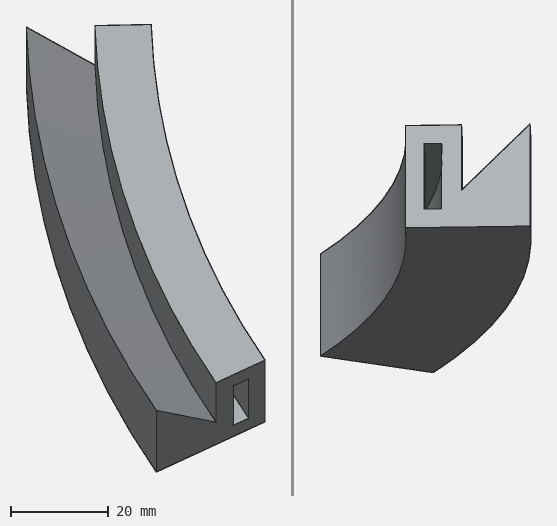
import cadquery as cq
import math

chord = 99.4
sweep_angle = 28.0
height = 22.0
groove_width = 14.0
groove_depth = 14.0
wall_thickness = 11.5
slot_width = 3.6
slot_height = 14.0
slot_inset = 3.9
slot_base = 4.0

half_angle = sweep_angle / 2
outer_radius = chord / 2 / math.sin(math.radians(half_angle))
groove_radius = outer_radius - groove_width
inner_radius = groove_radius - wall_thickness


def sweep_section(points):
    """Revolve a (radius, height) outline about Z, centred on the -Y direction."""
    solid = (
        cq.Workplane("XZ")
        .polyline(points)
        .close()
        .revolve(sweep_angle, (0, 0, 0), (0, -1, 0))
    )
    return solid.rotate((0, 0, 0), (0, 0, 1), half_angle - 90)


rail = sweep_section([
    (inner_radius, 0),
    (outer_radius, 0),
    (outer_radius, height),
    (groove_radius, height - groove_depth),
    (groove_radius, height),
    (inner_radius, height),
])

slot_inner = inner_radius + slot_inset
slot_outer = slot_inner + slot_width
slot_top = slot_base + slot_height
slot = sweep_section([
    (slot_inner, slot_base),
    (slot_outer, slot_base),
    (slot_outer, slot_top),
    (slot_inner, slot_top),
])

result = rail.cut(slot).translate((0, outer_radius, 0))